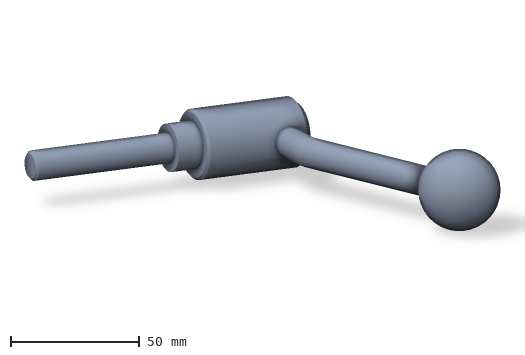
import cadquery as cq
import math

stud_diameter = 12.0
stud_length = 59.9
stud_chamfer = 1.0
collar_diameter = 19.0
collar_length = 10.5
hub_diameter = 28.0
hub_length = 46.0
hub_top_chamfer = 3.0
hub_bottom_chamfer = 1.0
arm_diameter = 12.0
bend_start_x = 28.9
bend_radius = 3.0
arm_angle = 20.0
ball_diameter = 32.0
overall_length = 149.8
overall_width = 136.0

collar_start = stud_length
hub_start = collar_start + collar_length
ball_x = overall_width - hub_diameter / 2 - ball_diameter / 2
ball_y = overall_length - ball_diameter / 2
arm_radius = arm_diameter / 2
bend_tangent = bend_radius * math.tan(math.radians(arm_angle / 2))
corner_x = bend_start_x + bend_tangent
arm_rise = (ball_x - corner_x) * math.tan(math.radians(arm_angle))
arm_y = ball_y - arm_rise


def cylinder_along_y(diameter, start, length):
    """Cylinder on the hub axis, running in +Y from start."""
    plane = cq.Plane(origin=(0, start, 0), xDir=(1, 0, 0), normal=(0, 1, 0))
    return cq.Workplane(plane).circle(diameter / 2).extrude(length)


def make_hub():
    hub = cylinder_along_y(hub_diameter, hub_start, hub_length)
    hub = hub.faces(">Y").chamfer(hub_top_chamfer)
    return hub.faces("<Y").chamfer(hub_bottom_chamfer)


def make_stud():
    stud = cylinder_along_y(stud_diameter, 0, hub_start)
    stud = stud.faces("<Y").chamfer(stud_chamfer)
    return stud.union(cylinder_along_y(collar_diameter, collar_start, collar_length))


def make_bend():
    """Tight bend: the part of the arm section outside the bend axis, turned by the arm angle."""
    half_chord = math.sqrt(arm_radius**2 - bend_radius**2)
    pivot_y = arm_y + bend_radius
    section = (
        cq.Workplane("YZ", origin=(bend_start_x, 0, 0))
        .moveTo(pivot_y, -half_chord)
        .threePointArc((arm_y - arm_radius, 0), (pivot_y, half_chord))
        .close()
    )
    return section.revolve(arm_angle, (pivot_y, -half_chord), (pivot_y, half_chord))


def make_arm():
    angle = math.radians(arm_angle)
    direction = cq.Vector(math.cos(angle), math.sin(angle), 0)
    ball_center = cq.Vector(ball_x, ball_y, 0)
    outer_length = (ball_x - corner_x) / math.cos(angle) - bend_tangent
    inner = cq.Workplane("YZ").center(arm_y, 0).circle(arm_radius).extrude(bend_start_x)
    outer_plane = cq.Plane(origin=ball_center, xDir=(0, 0, 1), normal=direction)
    outer = cq.Workplane(outer_plane).circle(arm_radius).extrude(-outer_length)
    return inner.union(make_bend()).union(outer)


def make_ball():
    return cq.Workplane("XY").sphere(ball_diameter / 2).translate((ball_x, ball_y, 0))


result = make_hub().union(make_stud()).union(make_arm()).union(make_ball())